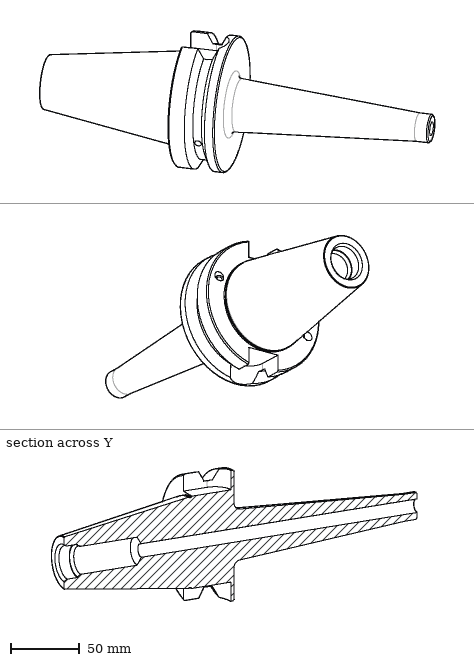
import cadquery as cq
import math


GAUGE_RADIUS = 69.85 / 2
TAPER_LENGTH = 101.8
TAPER_RATE = 7 / 24
TAPER_END_X = -TAPER_LENGTH
TAPER_END_RADIUS = GAUGE_RADIUS - TAPER_RATE * TAPER_LENGTH / 2
TAPER_END_CHAMFER = 0.5

LAND_END_X = 0.8
RELIEF_RADIUS = 34.4
RELIEF_CORNER = 0.6

FLANGE_RADIUS = 50.0
FLANGE_BACK_X = 3.0
FLANGE_FRONT_X = 38.0
FLANGE_CHAMFER = 1.0
GROOVE_X = 23.2
GROOVE_FLOOR_RADIUS = 42.5
GROOVE_FLOOR_WIDTH = 6.5
GROOVE_HALF_ANGLE = math.radians(30)

SHANK_LENGTH = 150.0
SHANK_END_X = FLANGE_FRONT_X + SHANK_LENGTH
SHANK_ROOT_RADIUS = 19.6
SHANK_ROOT_FILLET = 5.0
TIP_RADIUS = 10.5
TIP_LENGTH = 10.0
TIP_CHAMFER = 1.0

PILOT_RADIUS = 25.0 / 2
PILOT_DEPTH = 11.0
PILOT_CHAMFER = 1.5
PILOT_CHAMFER_LENGTH = 2.5
THREAD_RADIUS = 21.0 / 2
THREAD_CHAMFER = 1.5
THREAD_CHAMFER_LENGTH = 2.6
THREAD_DEPTH = 60.0
DRILL_POINT_HALF_ANGLE = math.radians(59)
THROUGH_RADIUS = 10.0 / 2

SLOT_WIDTH = 25.7
SLOT_FLOOR_HEIGHT = 35.4
SLOT_END_X = 35.2

COOLANT_ANGLE = 20.0
COOLANT_SEAT_RADIUS = 6.5 / 2
COOLANT_PITCH_RADIUS = 41.7
COOLANT_TILT = math.radians(35)
COOLANT_SEAT_DEPTH = 4.0
COOLANT_START = 5.0
COOLANT_DEPTH = 24.0
COOLANT_BORE_RADIUS = 4.0 / 2
PORT_RADIUS = 5.0 / 2
PORT_DEPTH = 12.0


def make_body():
    """Solid of revolution: taper, flange with V-groove and shank."""
    groove_rise = (FLANGE_RADIUS - GROOVE_FLOOR_RADIUS) * math.tan(GROOVE_HALF_ANGLE)
    floor_back_x = GROOVE_X - GROOVE_FLOOR_WIDTH / 2
    floor_front_x = GROOVE_X + GROOVE_FLOOR_WIDTH / 2
    fillet_end_x = FLANGE_FRONT_X + SHANK_ROOT_FILLET
    chamfer_rise = TAPER_END_CHAMFER * TAPER_RATE / 2
    fillet_mid = SHANK_ROOT_FILLET * (1 - math.sqrt(0.5))
    profile = (
        cq.Workplane("XZ")
        .moveTo(TAPER_END_X, 0)
        .lineTo(TAPER_END_X, TAPER_END_RADIUS - TAPER_END_CHAMFER)
        .lineTo(TAPER_END_X + TAPER_END_CHAMFER, TAPER_END_RADIUS + chamfer_rise)
        .lineTo(0, GAUGE_RADIUS)
        .lineTo(LAND_END_X, GAUGE_RADIUS)
        .lineTo(LAND_END_X + RELIEF_CORNER, RELIEF_RADIUS)
        .lineTo(FLANGE_BACK_X - RELIEF_CORNER, RELIEF_RADIUS)
        .lineTo(FLANGE_BACK_X, RELIEF_RADIUS + RELIEF_CORNER)
        .lineTo(FLANGE_BACK_X, FLANGE_RADIUS - FLANGE_CHAMFER)
        .lineTo(FLANGE_BACK_X + FLANGE_CHAMFER, FLANGE_RADIUS)
        .lineTo(floor_back_x - groove_rise, FLANGE_RADIUS)
        .lineTo(floor_back_x, GROOVE_FLOOR_RADIUS)
        .lineTo(floor_front_x, GROOVE_FLOOR_RADIUS)
        .lineTo(floor_front_x + groove_rise, FLANGE_RADIUS)
        .lineTo(FLANGE_FRONT_X - FLANGE_CHAMFER, FLANGE_RADIUS)
        .lineTo(FLANGE_FRONT_X, FLANGE_RADIUS - FLANGE_CHAMFER)
        .lineTo(FLANGE_FRONT_X, SHANK_ROOT_RADIUS + SHANK_ROOT_FILLET)
        .threePointArc(
            (FLANGE_FRONT_X + fillet_mid, SHANK_ROOT_RADIUS + fillet_mid),
            (fillet_end_x, SHANK_ROOT_RADIUS),
        )
        .lineTo(SHANK_END_X - TIP_LENGTH, TIP_RADIUS)
        .lineTo(SHANK_END_X - TIP_CHAMFER, TIP_RADIUS)
        .lineTo(SHANK_END_X, TIP_RADIUS - TIP_CHAMFER)
        .lineTo(SHANK_END_X, 0)
        .close()
    )
    return profile.revolve(360, (0, 0, 0), (1, 0, 0))


def make_bore():
    """Cutter for the chamfered pilot, thread core, drill point and through hole."""
    thread_start_x = TAPER_END_X + PILOT_DEPTH
    thread_end_x = TAPER_END_X + THREAD_DEPTH
    point_length = (THREAD_RADIUS - THROUGH_RADIUS) / math.tan(DRILL_POINT_HALF_ANGLE)
    profile = (
        cq.Workplane("XZ")
        .moveTo(TAPER_END_X, 0)
        .lineTo(TAPER_END_X, PILOT_RADIUS + PILOT_CHAMFER)
        .lineTo(TAPER_END_X + PILOT_CHAMFER_LENGTH, PILOT_RADIUS)
        .lineTo(thread_start_x, PILOT_RADIUS)
        .lineTo(thread_start_x, THREAD_RADIUS + THREAD_CHAMFER)
        .lineTo(thread_start_x + THREAD_CHAMFER_LENGTH, THREAD_RADIUS)
        .lineTo(thread_end_x, THREAD_RADIUS)
        .lineTo(thread_end_x + point_length, THROUGH_RADIUS)
        .lineTo(SHANK_END_X, THROUGH_RADIUS)
        .lineTo(SHANK_END_X, 0)
        .close()
    )
    return profile.revolve(360, (0, 0, 0), (1, 0, 0))


def make_drive_slot(side):
    """Cutter for a round-ended drive slot; side is +1 for the top, -1 for the bottom."""
    half_width = SLOT_WIDTH / 2
    straight_end_x = SLOT_END_X - half_width
    return (
        cq.Workplane("XY")
        .workplane(offset=side * SLOT_FLOOR_HEIGHT)
        .moveTo(0, -half_width)
        .lineTo(straight_end_x, -half_width)
        .threePointArc((SLOT_END_X, 0), (straight_end_x, half_width))
        .lineTo(0, half_width)
        .close()
        .extrude(side * FLANGE_RADIUS)
    )


def make_coolant_hole(turn):
    """Cutter for a tilted, counterbored hole in the flange back and the radial port beside it."""
    direction = cq.Vector(math.cos(COOLANT_TILT), -math.sin(COOLANT_TILT), 0)
    start = cq.Vector(FLANGE_BACK_X, COOLANT_PITCH_RADIUS, 0) - direction * COOLANT_START
    seat = cq.Solid.makeCylinder(COOLANT_SEAT_RADIUS, COOLANT_START + COOLANT_SEAT_DEPTH, start, direction)
    bore = cq.Solid.makeCylinder(COOLANT_BORE_RADIUS, COOLANT_START + COOLANT_DEPTH, start, direction)
    port_floor = cq.Vector(GROOVE_X, GROOVE_FLOOR_RADIUS - PORT_DEPTH, 0)
    port = cq.Solid.makeCylinder(PORT_RADIUS, FLANGE_RADIUS - port_floor.y, port_floor, cq.Vector(0, 1, 0))
    cutter = cq.Workplane("XY").add(seat.fuse(bore, port))
    return cutter.rotate((0, 0, 0), (1, 0, 0), turn)


result = make_body().cut(make_bore())
for slot_side in (1, -1):
    result = result.cut(make_drive_slot(slot_side))
for opposite_turn in (0, 180):
    result = result.cut(make_coolant_hole(COOLANT_ANGLE + opposite_turn))